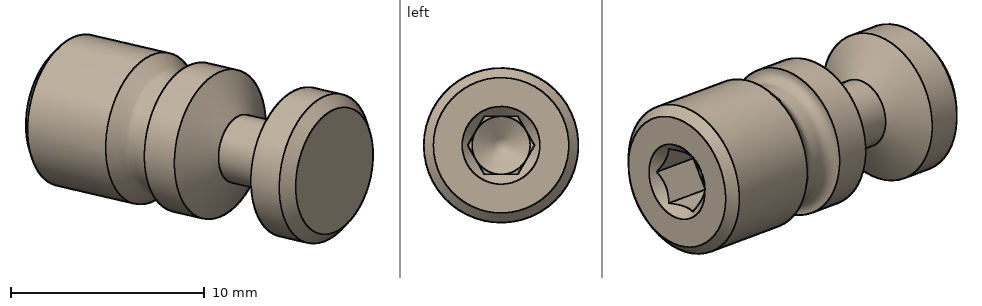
import cadquery as cq
import math

length = 17.3

head_radius = 4.0
head_end = 5.54
head_chamfer = 0.5

groove_radius = 3.2
groove_fillet = 0.6
groove_slope = math.radians(40)

collar_radius = 3.95
collar_start = 8.0
collar_end = 9.93
neck_radius = 1.8
disc_start = 14.86
disc_chamfer = 0.6
cone_slope = math.radians(60)

socket_flats = 3.0
socket_depth = 3.0
socket_mouth_radius = 2.0
drill_half_angle = math.radians(60)


def turned_body():
    fillet_rise = groove_fillet * (1 - math.cos(groove_slope))
    slope_foot_radius = groove_radius + fillet_rise
    slope_foot = head_end + (head_radius - slope_foot_radius) / math.tan(groove_slope)
    floor_start = slope_foot + groove_fillet * math.sin(groove_slope)
    floor_end = collar_start - groove_fillet
    fillet_center_radius = groove_radius + groove_fillet

    def fillet_point(center_x, angle):
        return (
            center_x + groove_fillet * math.sin(angle),
            fillet_center_radius - groove_fillet * math.cos(angle),
        )

    cone_length = (collar_radius - neck_radius) / math.tan(cone_slope)

    profile = (
        cq.Workplane("XY")
        .moveTo(0, 0)
        .lineTo(0, head_radius - head_chamfer)
        .lineTo(head_chamfer, head_radius)
        .lineTo(head_end, head_radius)
        .lineTo(slope_foot, slope_foot_radius)
        .threePointArc(fillet_point(floor_start, -groove_slope / 2), (floor_start, groove_radius))
        .lineTo(floor_end, groove_radius)
        .threePointArc(fillet_point(floor_end, math.pi / 4), (collar_start, fillet_center_radius))
        .lineTo(collar_start, collar_radius)
        .lineTo(collar_end, collar_radius)
        .lineTo(collar_end + cone_length, neck_radius)
        .lineTo(disc_start - cone_length, neck_radius)
        .lineTo(disc_start, collar_radius)
        .lineTo(length - disc_chamfer, collar_radius)
        .lineTo(length, collar_radius - disc_chamfer)
        .lineTo(length, 0)
        .close()
    )
    return profile.revolve(360, (0, 0, 0), (1, 0, 0))


def cone_cutter(start_x, base_radius, depth):
    """Cone along X, wide end at start_x and tip at start_x + depth."""
    return (
        cq.Workplane("XY")
        .moveTo(start_x, 0)
        .lineTo(start_x, base_radius)
        .lineTo(start_x + depth, 0)
        .close()
        .revolve(360, (0, 0, 0), (1, 0, 0))
    )


def socket_cutter():
    corner_diameter = socket_flats / math.cos(math.pi / 6)
    hexagon = cq.Workplane("YZ").polygon(6, corner_diameter).extrude(socket_depth)

    countersink = cone_cutter(0, socket_mouth_radius, socket_mouth_radius)

    drill_radius = socket_flats / 2
    drill_tip = cone_cutter(socket_depth, drill_radius, drill_radius / math.tan(drill_half_angle))
    return hexagon.union(countersink).union(drill_tip)


result = turned_body().cut(socket_cutter())